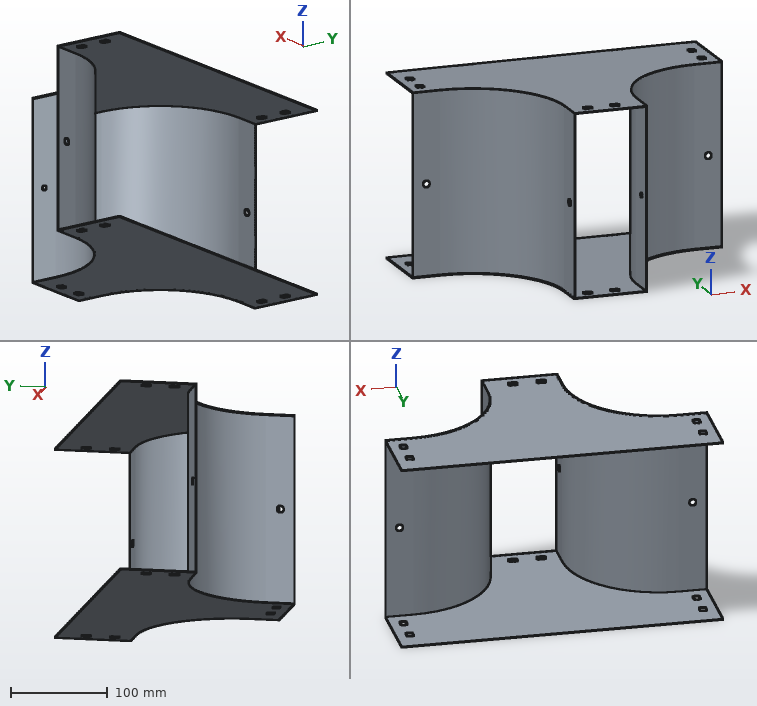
import cadquery as cq

run_length = 340.0
height = 200.0
channel_width = 80.0
end_length = 30.0
sheet = 1.0

half_run = run_length / 2
half_branch = channel_width / 2
bend_radius = half_run - half_branch - end_length
depth = channel_width + bend_radius + end_length

slot_length = 10.0
slot_width = 7.0
slot_inset = end_length / 2
slot_pitch = 30.0
first_slot_offset = 30.0
branch_slot_offset = 20.0
hole_diameter = 7.0
small_hole_diameter = 5.0
hole_inset = end_length / 2


def tee_outline(rear_y, side_offset):
    """Tee closed at rear_y, its curved sides moved inward by side_offset."""
    front = -channel_width + side_offset
    branch_x = half_branch - side_offset
    radius = bend_radius + side_offset
    arc_x = half_run - end_length
    arc_y = -depth + end_length
    return (
        cq.Workplane("XY")
        .workplane(offset=-height / 2)
        .moveTo(-half_run, rear_y)
        .lineTo(half_run, rear_y)
        .lineTo(half_run, front)
        .lineTo(arc_x, front)
        .radiusArc((branch_x, arc_y), -radius)
        .lineTo(branch_x, -depth)
        .lineTo(-branch_x, -depth)
        .lineTo(-branch_x, arc_y)
        .radiusArc((-arc_x, front), -radius)
        .lineTo(-half_run, front)
        .close()
    )


def slots(points, length_along_y):
    """Slots through both plates: round holes narrowed by two parallel flats."""
    flats = (slot_width, slot_length) if length_along_y else (slot_length, slot_width)
    layout = cq.Workplane("XY").pushPoints(points)
    round_holes = layout.circle(slot_length / 2).extrude(height, both=True)
    bars = layout.rect(*flats).extrude(height, both=True)
    return round_holes.intersect(bars)


inside = tee_outline(0, sheet).extrude(height - 2 * sheet).translate((0, 0, sheet))
body = tee_outline(0, 0).extrude(height).cut(inside)

run_slots = [
    (side * (half_run - slot_inset), -first_slot_offset - i * slot_pitch)
    for side in (-1, 1)
    for i in range(2)
]
branch_slots = [
    (-half_branch + branch_slot_offset + i * slot_pitch, -depth + slot_inset)
    for i in range(2)
]
body = body.cut(slots(run_slots, True)).cut(slots(branch_slots, False))

hole_x = half_run - hole_inset
run_holes = (
    cq.Workplane("XZ")
    .pushPoints([(-hole_x, 0), (hole_x, 0)])
    .circle(hole_diameter / 2)
    .extrude(depth)
)

hole_y = -depth + hole_inset
branch_holes = cq.Workplane("YZ").center(hole_y, 0)
left_hole = branch_holes.circle(hole_diameter / 2).extrude(-channel_width)
right_hole = branch_holes.circle(small_hole_diameter / 2).extrude(channel_width)

result = body.cut(run_holes).cut(left_hole).cut(right_hole)